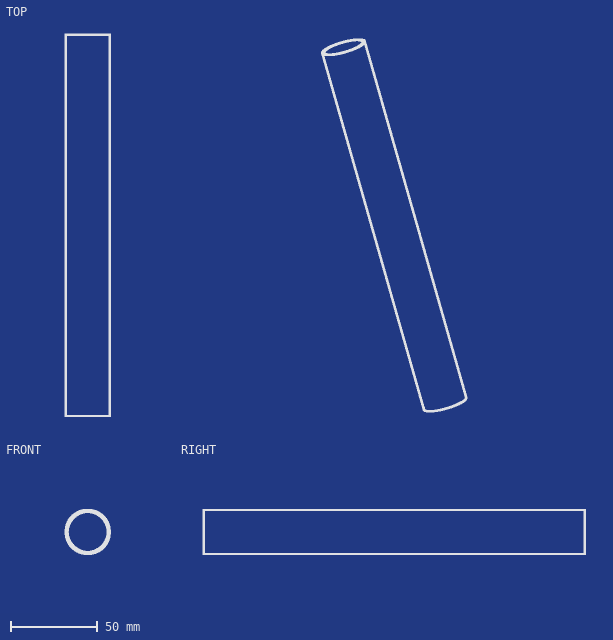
import cadquery as cq

length = 220.0
outer_diameter = 25.5
wall_thickness = 1.2

inner_diameter = outer_diameter - 2 * wall_thickness

result = (
    cq.Workplane("XZ", origin=(0, length / 2, 0))
    .circle(outer_diameter / 2)
    .circle(inner_diameter / 2)
    .extrude(length)
)